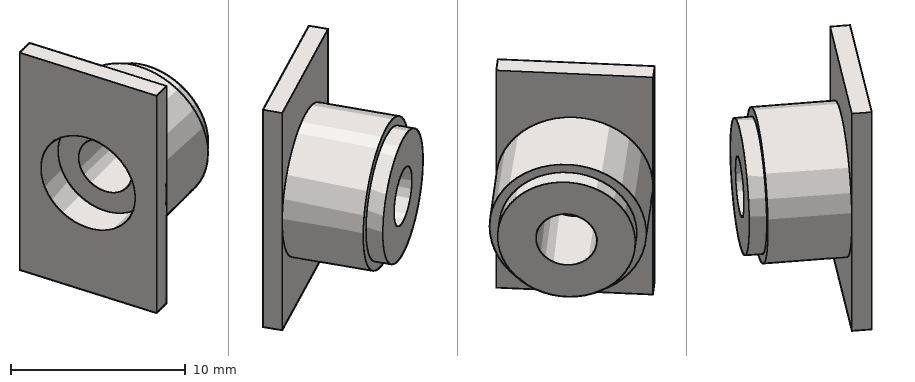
import cadquery as cq

plate_width = 9.0
plate_height = 15.0
plate_thickness = 1.15

body_diameter = plate_width
body_length = 4.85
spigot_diameter = 7.9
spigot_length = 1.0

bore_diameter = 3.5
counterbore_diameter = 6.2
counterbore_depth = 2.0

body_end = plate_thickness + body_length
total_length = body_end + spigot_length


def cylinder_along_y(diameter, start, length):
    """Cylinder centred on the Y axis, running from Y = start toward +Y."""
    return cq.Workplane("XZ", origin=(0, start, 0)).circle(diameter / 2).extrude(-length)


plate = cq.Workplane("XZ").rect(plate_width, plate_height).extrude(-plate_thickness)
body = cylinder_along_y(body_diameter, plate_thickness, body_length)
spigot = cylinder_along_y(spigot_diameter, body_end, spigot_length)

bore = cylinder_along_y(bore_diameter, 0, total_length)
counterbore = cylinder_along_y(counterbore_diameter, 0, counterbore_depth)

result = plate.union(body).union(spigot).cut(bore).cut(counterbore)